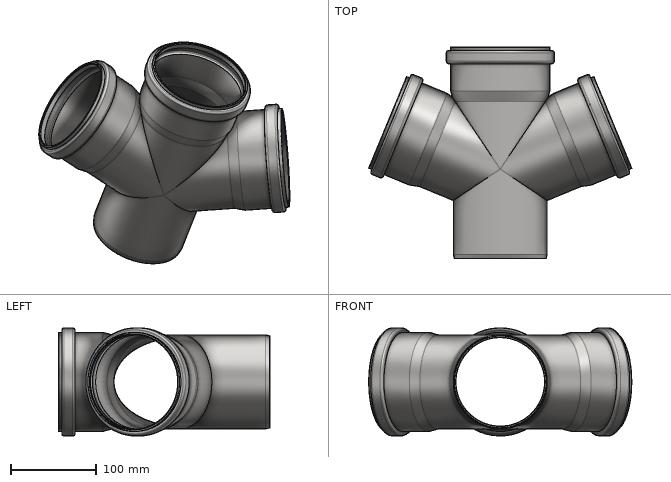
import cadquery as cq

socket_length = 143.2
spigot_length = 105.2
branch_angle = 67.5

pipe_outer_radius = 110.5 / 2
pipe_inner_radius = 104.2 / 2
socket_outer_radius = 116.5 / 2
socket_inner_radius = 111.0 / 2
collar_outer_radius = 127.0 / 2
groove_radius = 122.0 / 2
wall = socket_outer_radius - socket_inner_radius

collar_front = 4.0
collar_back = 19.5
taper_front = 51.7
taper_back = 63.7

collar_front_fillet = 2.5
collar_back_fillet = 3.0
groove_fillet = 1.2
mouth_chamfer = 1.0
spigot_chamfer_length = 5.0
spigot_chamfer_depth = 1.2


def revolve_profile(profile):
    """Turn an open (radius, distance) profile about the Y axis, closing it along the axis."""
    start = (0, profile[0][1])
    end = (0, profile[-1][1])
    outline = cq.Workplane("XY").polyline([start, *profile, end]).close()
    return outline.revolve(360, (0, 0, 0), (0, 1, 0))


def ring(radius, start, end, back_fillet, front_fillet):
    """Disc along +Y with rounded rims."""
    disc = cq.Workplane("XZ", origin=(0, start, 0)).circle(radius).extrude(start - end)
    return disc.edges("<Y").fillet(back_fillet).edges(">Y").fillet(front_fillet)


def tapered_arm(pipe_radius, mouth_radius):
    """Pipe from the junction that widens conically to the socket bore or skin."""
    return revolve_profile([
        (pipe_radius, 0),
        (pipe_radius, socket_length - taper_back),
        (mouth_radius, socket_length - taper_front),
        (mouth_radius, socket_length),
    ])


def socket_skin():
    collar = ring(
        collar_outer_radius,
        socket_length - collar_back,
        socket_length - collar_front,
        collar_back_fillet,
        collar_front_fillet,
    )
    return tapered_arm(pipe_outer_radius, socket_outer_radius).union(collar)


def socket_bore():
    """Bore with a seal groove behind the lip and a chamfered mouth."""
    groove = ring(
        groove_radius,
        socket_length - collar_back + wall,
        socket_length - collar_front - wall,
        groove_fillet,
        groove_fillet,
    )
    mouth = revolve_profile([
        (socket_inner_radius, socket_length - mouth_chamfer),
        (socket_inner_radius + mouth_chamfer, socket_length),
    ])
    return tapered_arm(pipe_inner_radius, socket_inner_radius).union(groove).union(mouth)


def spigot_skin():
    return revolve_profile([
        (pipe_outer_radius - spigot_chamfer_depth, -spigot_length),
        (pipe_outer_radius, spigot_chamfer_length - spigot_length),
        (pipe_outer_radius, 0),
    ])


def spigot_bore():
    return revolve_profile([(pipe_inner_radius, -spigot_length), (pipe_inner_radius, 0)])


def junction(spigot, socket, radius):
    """Join the spigot and the three sockets around a ball that fills the junction centre."""
    body = spigot.union(cq.Workplane("XY").sphere(radius))
    for angle in (-branch_angle, 0, branch_angle):
        body = body.union(socket.rotate((0, 0, 0), (0, 0, 1), angle))
    return body


skin = junction(spigot_skin(), socket_skin(), pipe_outer_radius)
bore = junction(spigot_bore(), socket_bore(), pipe_inner_radius)
result = skin.cut(bore)